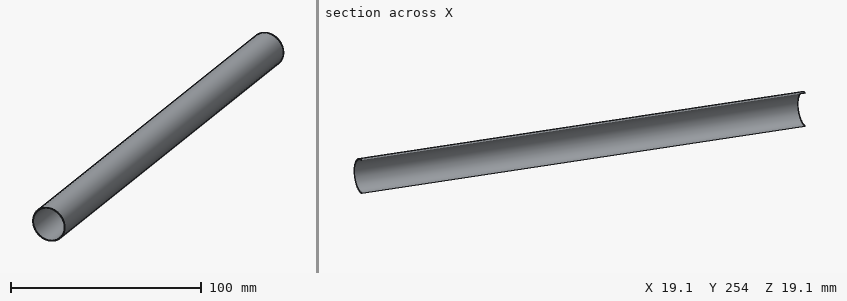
import cadquery as cq

outer_diameter = 19.05
wall_thickness = 0.508
length = 254.0

inner_diameter = outer_diameter - 2 * wall_thickness

result = (
    cq.Workplane("XZ", origin=(0, length / 2, 0))
    .circle(outer_diameter / 2)
    .circle(inner_diameter / 2)
    .extrude(length)
)